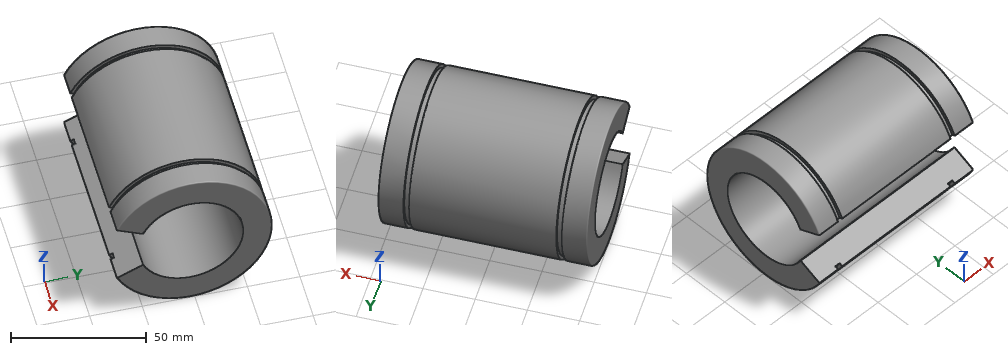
import cadquery as cq
import math

length = 80.0
outer_radius = 62.0 / 2
bore_radius = 40.0 / 2
rim_fillet = 0.5

groove_spacing = 60.6
groove_width = 2.2
groove_diameter = 59.0

opening_angle = 50.0
cut_clearance = 0.8


def cylinder(start_x, radius, depth):
    """Solid cylinder on the X axis, starting at start_x."""
    return cq.Workplane("YZ", origin=(start_x, 0, 0)).circle(radius).extrude(depth)


def ring_groove(start_x):
    """Ring of material to remove for one retaining-ring groove."""
    core = cylinder(start_x, groove_diameter / 2, groove_width)
    return cylinder(start_x, outer_radius + cut_clearance, groove_width).cut(core)


def opening_wedge():
    """Triangular prism from the axis out past the outer surface toward -Y."""
    reach = 2 * outer_radius
    half_height = reach * math.tan(math.radians(opening_angle / 2))
    return (
        cq.Workplane("YZ", origin=(-length / 2, 0, 0))
        .polyline([(0, 0), (-reach, -half_height), (-reach, half_height)])
        .close()
        .extrude(length)
    )


body = cylinder(-length / 2, outer_radius, length)
body = body.faces("<X or >X").edges().fillet(rim_fillet)
body = body.cut(cylinder(-length / 2, bore_radius, length))

for groove_start in (-groove_spacing / 2, groove_spacing / 2 - groove_width):
    body = body.cut(ring_groove(groove_start))

result = body.cut(opening_wedge())